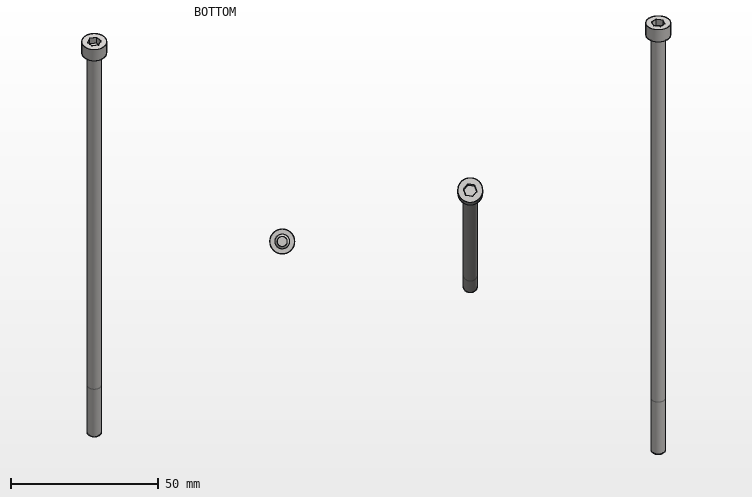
import cadquery as cq
import math

thread_diameter = 5.0
shank_length = 170.0
thread_length = 22.0

head_diameter = 8.5
head_height = thread_diameter

socket_across_flats = 4.0
socket_depth = head_height / 2
hexagon_sides = 6
socket_across_corners = socket_across_flats / math.cos(math.pi / hexagon_sides)

tip_chamfer = 0.8


def make_head():
    """Cylindrical head with a hexagon socket whose corners lie on the X axis."""
    head = cq.Workplane("XY").circle(head_diameter / 2).extrude(head_height)
    socket = (
        cq.Workplane("XY", origin=(0, 0, head_height))
        .polygon(hexagon_sides, socket_across_corners)
        .extrude(-socket_depth)
    )
    return head.cut(socket)


def make_plain_shank():
    """Unthreaded length directly under the head."""
    plain_length = shank_length - thread_length
    return cq.Workplane("XY").circle(thread_diameter / 2).extrude(-plain_length)


def make_threaded_end():
    """Threaded length, modelled as a plain cylinder with a chamfered tip."""
    end = (
        cq.Workplane("XY", origin=(0, 0, -shank_length))
        .circle(thread_diameter / 2)
        .extrude(thread_length)
    )
    return end.faces("<Z").chamfer(tip_chamfer)


result = make_head().union(make_plain_shank()).union(make_threaded_end(), clean=False)